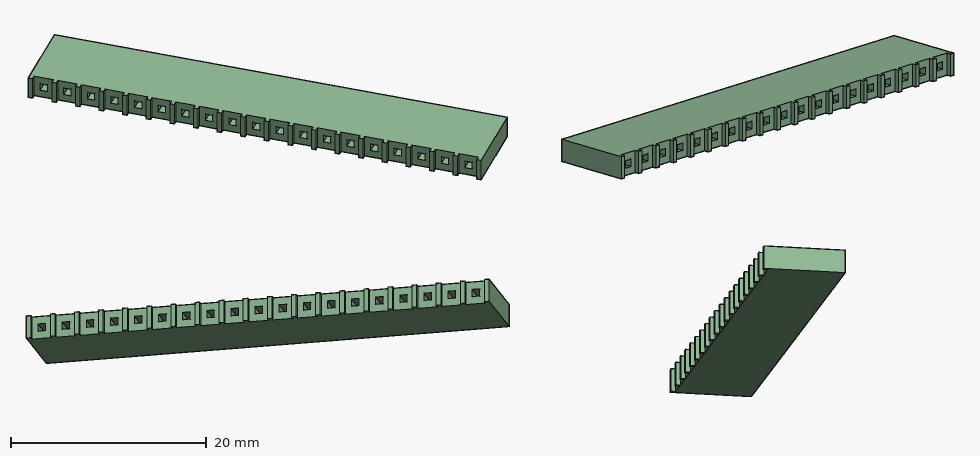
import cadquery as cq

length = 48.75
depth = 8.5
height = 2.4

cell_count = 19
rib_width = 0.5
rib_projection = 0.5
hole_side = 0.8

pitch = (length - rib_width) / cell_count
recess_width = pitch - rib_width
front_y = -depth / 2
recess_center_y = front_y + rib_projection / 2
cell_centers = [(i - (cell_count - 1) / 2) * pitch for i in range(cell_count)]


def cell_recesses():
    """Full-height pockets that leave the ribs standing on the front face."""
    return (
        cq.Workplane("XY")
        .pushPoints([(x, recess_center_y) for x in cell_centers])
        .box(recess_width, rib_projection, height)
    )


def contact_holes():
    """Square holes running through the depth, one centered in each cell."""
    return (
        cq.Workplane("XY")
        .pushPoints([(x, 0) for x in cell_centers])
        .box(hole_side, depth, hole_side)
    )


body = cq.Workplane("XY").box(length, depth, height)
result = body.cut(cell_recesses()).cut(contact_holes())